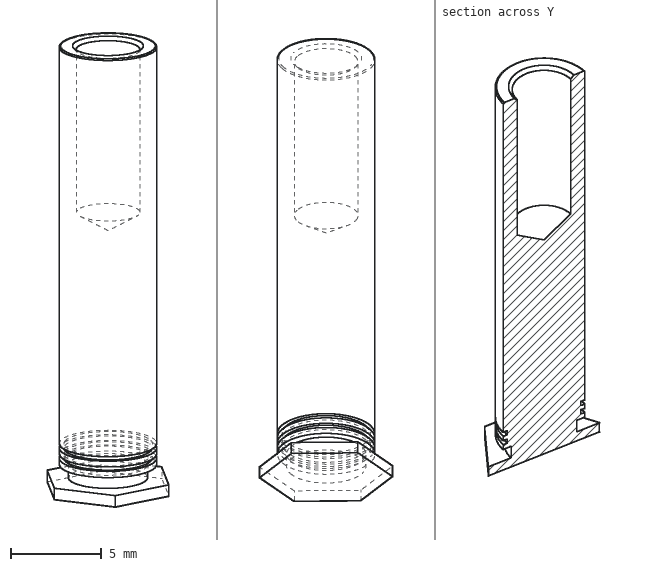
import cadquery as cq
import math

total_length = 25.4

head_across_flats = 6.35
head_height = 0.65
head_across_corners = head_across_flats / math.cos(math.pi / 6)

shank_diameter = 5.38
shank_tip_chamfer = 0.08
neck_diameter = 4.37
neck_top = 1.42
groove_diameter = 4.88
groove_height = 0.25
groove_bottoms = (1.78, 2.35)

bore_diameter = 3.5
bore_mouth_chamfer = 0.2
bore_depth = 9.52
drill_point_angle = 118.0


def make_head():
    return cq.Workplane("XY").polygon(6, head_across_corners).extrude(head_height)


def make_neck():
    return cq.Workplane("XY").circle(neck_diameter / 2).extrude(neck_top)


def make_shank():
    shank = (
        cq.Workplane("XY")
        .workplane(offset=neck_top)
        .circle(shank_diameter / 2)
        .extrude(total_length - neck_top)
    )
    return shank.faces(">Z").edges().chamfer(shank_tip_chamfer)


def make_groove(bottom):
    return (
        cq.Workplane("XY")
        .workplane(offset=bottom)
        .circle(shank_diameter)
        .circle(groove_diameter / 2)
        .extrude(groove_height)
    )


def make_bore():
    """Revolved cutter: drill cone, straight bore and chamfered mouth."""
    radius = bore_diameter / 2
    cone_base = total_length - bore_depth
    cone_height = radius / math.tan(math.radians(drill_point_angle / 2))
    return (
        cq.Workplane("XZ")
        .moveTo(0, cone_base - cone_height)
        .lineTo(radius, cone_base)
        .lineTo(radius, total_length - bore_mouth_chamfer)
        .lineTo(radius + bore_mouth_chamfer, total_length)
        .lineTo(0, total_length)
        .close()
        .revolve(360, (0, 0), (0, 1))
    )


result = make_head().union(make_neck()).union(make_shank())
for groove_bottom in groove_bottoms:
    result = result.cut(make_groove(groove_bottom))
result = result.cut(make_bore())